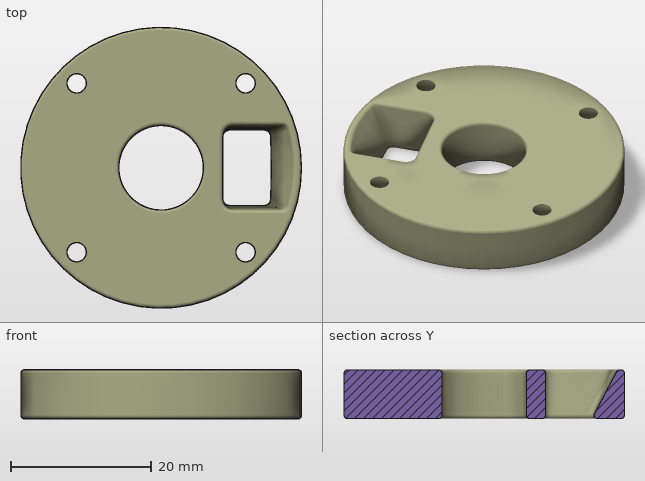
import cadquery as cq
import math

disc_radius = 20.0
thickness = 7.0
edge_round_diameter = 1.0
edge_round = edge_round_diameter / 2

bore_radius = 6.0
screw_diameter = 2.7
screw_circle_radius = 17.0
screw_count = 4

window_inner_x = 8.8
bottom_outer_x = 15.3
bottom_half_width = 5.3
bottom_corner = 0.9
top_outer_radius = 19.0
top_half_width = 6.1
top_inner_corner = 1.5
top_outer_corner = 0.8


def polar(center, radius, angle):
    """Point on a circle at the given angle in radians."""
    return (center[0] + radius * math.cos(angle), center[1] + radius * math.sin(angle))


def mirrored(point):
    return (point[0], -point[1])


def window_outline(sketch, half_width, inner_corner, outer_corner, outer_center, outer_angle, outer_mid):
    """Closed window outline, symmetric about the X axis.

    outer_center is the centre of the upper outer corner arc, which runs from
    outer_angle to the Y direction. outer_mid is the middle of the outer side,
    or None when that side is straight.
    """
    quarter = math.pi / 2
    inner_center = (window_inner_x + inner_corner, half_width - inner_corner)
    outer_start = polar(outer_center, outer_corner, outer_angle)
    outer_half = polar(outer_center, outer_corner, (outer_angle + quarter) / 2)
    outer_end = polar(outer_center, outer_corner, quarter)
    inner_start = polar(inner_center, inner_corner, quarter)
    inner_half = polar(inner_center, inner_corner, 1.5 * quarter)
    inner_end = polar(inner_center, inner_corner, 2 * quarter)

    outline = sketch.moveTo(*mirrored(outer_start))
    if outer_mid is None:
        outline = outline.lineTo(*outer_start)
    else:
        outline = outline.threePointArc(outer_mid, outer_start)
    return (
        outline.threePointArc(outer_half, outer_end)
        .lineTo(*inner_start)
        .threePointArc(inner_half, inner_end)
        .lineTo(*mirrored(inner_end))
        .threePointArc(mirrored(inner_half), mirrored(inner_start))
        .lineTo(*mirrored(outer_end))
        .threePointArc(mirrored(outer_half), mirrored(outer_start))
        .close()
    )


def window_cutter():
    """Loft from the rounded rectangle below to the arc-sided opening above."""
    bottom_center = (bottom_outer_x - bottom_corner, bottom_half_width - bottom_corner)
    bottom = window_outline(
        cq.Workplane("XY"), bottom_half_width, bottom_corner, bottom_corner, bottom_center, 0, None
    )

    center_y = top_half_width - top_outer_corner
    center_x = math.sqrt((top_outer_radius - top_outer_corner) ** 2 - center_y**2)
    return window_outline(
        bottom.workplane(offset=thickness),
        top_half_width,
        top_inner_corner,
        top_outer_corner,
        (center_x, center_y),
        math.atan2(center_y, center_x),
        (top_outer_radius, 0),
    ).loft(ruled=True, combine=True)


disc = cq.Workplane("XY").circle(disc_radius).circle(bore_radius).extrude(thickness)
disc = disc.faces("<Z or >Z").edges().fillet(edge_round)

window_reach = cq.selectors.BoxSelector(
    (window_inner_x - edge_round, -top_half_width - edge_round, -edge_round),
    (disc_radius - edge_round, top_half_width + edge_round, thickness + edge_round),
)
disc = disc.cut(window_cutter())
disc = disc.faces("<Z or >Z").edges(window_reach).fillet(edge_round)

screw_holes = (
    cq.Workplane("XY")
    .polarArray(screw_circle_radius, 45, 360, screw_count)
    .circle(screw_diameter / 2)
    .extrude(thickness)
)

result = disc.cut(screw_holes)